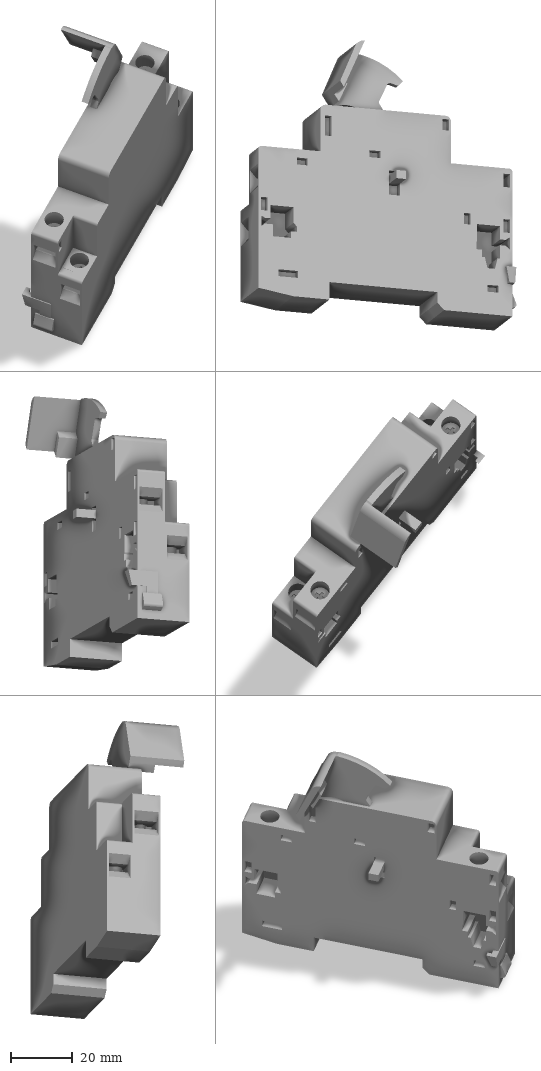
import cadquery as cq
WIDTH = 18.05
LENGTH = 87.0
SHOULDER_Z = 49.6
TOP_Z = 65.5
TOP_FRONT_Y = 21.0
TOP_BACK_Y = 65.8
TOP_RADIUS = 2.0
SHOULDER_RADIUS = 1.0

STEP_X = 9.5
STEP_Z = 32.9
STEP_LENGTH = 11.9

RAIL_FRONT_Y = 25.7
RAIL_BACK_Y = 62.7
RAIL_DEPTH = 5.9
RAIL_CHAMFER = 2.3
BACK_TAPER_Y = 75.1
BACK_TAPER_Z = 1.8

SCREW_INSET = 8.0
WELL_RADIUS = 3.1
WELL_DEPTH = 5.8
CROSS_DEPTH = 0.7
FUNNEL_DEPTH = 2.3
ENTRY_HEIGHT = 7.9
ENTRY_SLOT_HEIGHT = 2.7

STEP_RECESS_WIDTH = 4.0
STEP_RECESS_END_Y = 3.1
STEP_RECESS_DEPTH = 0.1

POCKET_DEPTH = 2.7
POCKET_WIDTH = 2.3
POCKET_SHORT = 3.7
POCKET_MEDIUM = 4.45
POCKET_LONG = 6.8
POCKET_INSET = 0.8
END_POCKET_Z = 28.0
SOCKET_DEPTH = 8.45

BAR_REACH = 6.6
BAR_SLOT_SIZE = (3.65, 8.1)
BAR_SLOT_CORNER = (38.6, 37.2)
BAR_SIZE = (3.4, 2.8)
BAR_CORNER = (38.7, 41.0)

PLATE_X = (1.1, 3.4)
GRIP_X = -14.85
RIB_X = -5.3

LATCH_PROUD = 0.3
LATCH_PLATE_DEPTH = 1.7
LATCH_TOP_Z = 15.8
LATCH_BOTTOM_Z = 10.8
HOOK_TOP_X = -3.2
HOOK_BOTTOM_X = -2.05
HOOK_INNER_X = -1.7
HOOK_DEPTH = 3.1
LATCH_END_X = 7.0
STEM_X = 3.0
CATCH_X = (1.6, 8.2)
CATCH_TOP_Z = 8.5
CATCH_BOTTOM_Z = 2.9
CATCH_TOP_LEDGE = 0.45
CATCH_REACH = 2.0


def prism(points, x_start, x_end):
    """Closed (Y, Z) outline extruded along X."""
    sketch = cq.Workplane("YZ", origin=(x_start, 0, 0)).polyline(points).close()
    return sketch.extrude(x_end - x_start)


def block(x_range, y_range, z_range):
    """Box given by its limits along each axis."""
    size = [limits[1] - limits[0] for limits in (x_range, y_range, z_range)]
    corner = (x_range[0], y_range[0], z_range[0])
    return cq.Workplane("XY").box(*size, centered=False).translate(corner)


def housing_slice(x_start, x_end, end_z, shoulder_inset):
    """Part of the housing whose end faces rise to end_z."""
    underside = [
        (LENGTH, BACK_TAPER_Z),
        (BACK_TAPER_Y, 0),
        (RAIL_BACK_Y, 0),
        (RAIL_BACK_Y, RAIL_DEPTH),
        (RAIL_FRONT_Y, RAIL_DEPTH),
        (RAIL_FRONT_Y, RAIL_CHAMFER),
        (RAIL_FRONT_Y - RAIL_CHAMFER, 0),
        (0, 0),
    ]
    front_end = [(0, end_z)]
    back_end = [(LENGTH, end_z)]
    rounded = [(0, end_z), (LENGTH, end_z)]
    if shoulder_inset > 0:
        shoulder_front = (shoulder_inset, SHOULDER_Z)
        shoulder_back = (LENGTH - shoulder_inset, SHOULDER_Z)
        front_end += [(shoulder_inset, end_z), shoulder_front]
        back_end = [shoulder_back, (LENGTH - shoulder_inset, end_z)] + back_end
        rounded += [shoulder_front, shoulder_back]
    crown = [
        (TOP_FRONT_Y, SHOULDER_Z),
        (TOP_FRONT_Y, TOP_Z),
        (TOP_BACK_Y, TOP_Z),
        (TOP_BACK_Y, SHOULDER_Z),
    ]
    body = prism(front_end + crown + back_end + underside, x_start, x_end)
    middle_x = (x_start + x_end) / 2
    corners = [(corner, SHOULDER_RADIUS) for corner in rounded]
    corners += [(corner, TOP_RADIUS) for corner in crown[1:3]]
    for (y, z), radius in corners:
        edge = cq.selectors.NearestToPointSelector((middle_x, y, z))
        body = body.edges(edge).fillet(radius)
    return body


def terminal(screw_x, floor_z, entry_x, ceiling_z, shaft_radius, cross):
    """Cutter for a front terminal: screw well, cross recess and wire entry.

    floor_z is the housing surface around the well; cross is (X length, Y length, slot width).
    """
    cross_x, cross_y, cross_slot = cross
    screw = cq.Workplane("XY", origin=(screw_x, SCREW_INSET, floor_z - WELL_DEPTH))
    cutter = screw.circle(WELL_RADIUS).extrude(WELL_DEPTH)
    cutter = cutter.union(screw.rect(cross_x, cross_slot).extrude(-CROSS_DEPTH))
    cutter = cutter.union(screw.rect(cross_slot, cross_y).extrude(-CROSS_DEPTH))

    middle_z = ceiling_z - ENTRY_HEIGHT / 2
    slot_top_z = middle_z + ENTRY_SLOT_HEIGHT / 2
    slot_bottom_z = middle_z - ENTRY_SLOT_HEIGHT / 2
    entry = prism(
        [
            (0, ceiling_z),
            (FUNNEL_DEPTH, slot_top_z),
            (SCREW_INSET, slot_top_z),
            (SCREW_INSET, slot_bottom_z),
            (FUNNEL_DEPTH, slot_bottom_z),
            (0, ceiling_z - ENTRY_HEIGHT),
        ],
        *entry_x,
    )
    shaft = cq.Workplane("XY", origin=(screw_x, SCREW_INSET, slot_bottom_z))
    entry = entry.cut(shaft.circle(shaft_radius).extrude(ENTRY_SLOT_HEIGHT))
    return cutter.union(entry)


def side_pocket(corner, size, depth):
    """Rectangular pocket cutter in the coupling side, from its lowest (Y, Z) corner."""
    y, z = corner
    return block((0, depth), (y, y + size[0]), (z, z + size[1]))


def handle():
    """Tilted handle standing on the crown."""
    grip_foot = (64.1, 69.6)
    plate_foot = (61.3, TOP_Z)
    grip_shoulder = (58.9, 82.0)
    shoulder_middle = (57.5, 83.4)
    grip_crest = (55.7, 83.9)
    plate_crest = (55.05, 84.1)
    grip_inner_foot = (62.9, 67.7)
    plate = (
        cq.Workplane("YZ", origin=(PLATE_X[0], 0, 0))
        .moveTo(*plate_foot)
        .lineTo(*grip_foot)
        .lineTo(*grip_shoulder)
        .threePointArc(shoulder_middle, grip_crest)
        .lineTo(*plate_crest)
        .threePointArc((46.25, 82.1), (37.1, 76.0))
        .lineTo(38.8, 74.35)
        .lineTo(41.1, 75.0)
        .threePointArc((42.0, 74.9), (42.6, 74.3))
        .lineTo(45.3, 68.7)
        .lineTo(45.3, 67.9)
        .lineTo(43.8, TOP_Z)
        .lineTo(52.9, TOP_Z)
        .threePointArc((56.4, 66.3), (59.9, TOP_Z))
        .close()
        .extrude(PLATE_X[1] - PLATE_X[0])
    )
    grip = (
        cq.Workplane("YZ", origin=(GRIP_X, 0, 0))
        .moveTo(*grip_inner_foot)
        .lineTo(*grip_foot)
        .lineTo(*grip_shoulder)
        .threePointArc(shoulder_middle, grip_crest)
        .close()
        .extrude(PLATE_X[1] - GRIP_X)
    )
    rib = prism([grip_inner_foot, (60.1, 74.0), (58.4, 71.6), plate_foot], RIB_X, PLATE_X[1])
    return plate.union(grip).union(rib)


def latch():
    """Slide plate with a hook past the coupling side, and the thumb catch below it."""
    plate = (
        cq.Workplane("XZ", origin=(0, -LATCH_PROUD, 0))
        .polyline(
            [
                (HOOK_TOP_X, LATCH_TOP_Z),
                (LATCH_END_X, LATCH_TOP_Z),
                (LATCH_END_X, CATCH_TOP_Z),
                (STEM_X, CATCH_TOP_Z),
                (STEM_X, LATCH_BOTTOM_Z),
                (HOOK_BOTTOM_X, LATCH_BOTTOM_Z),
            ]
        )
        .close()
        .extrude(-(LATCH_PROUD + LATCH_PLATE_DEPTH))
    )
    hook_outline = [
        (-LATCH_PROUD, LATCH_TOP_Z),
        (HOOK_DEPTH, LATCH_TOP_Z),
        (LATCH_PLATE_DEPTH, LATCH_BOTTOM_Z),
        (-LATCH_PROUD, LATCH_BOTTOM_Z),
    ]
    hook_limits = (
        cq.Workplane("XZ")
        .polyline(
            [
                (HOOK_TOP_X, LATCH_TOP_Z),
                (HOOK_INNER_X, LATCH_TOP_Z),
                (HOOK_INNER_X, LATCH_BOTTOM_Z),
                (HOOK_BOTTOM_X, LATCH_BOTTOM_Z),
            ]
        )
        .close()
        .extrude(HOOK_DEPTH, both=True)
    )
    hook = prism(hook_outline, HOOK_TOP_X, HOOK_INNER_X).intersect(hook_limits)
    catch = (
        cq.Workplane("YZ", origin=(CATCH_X[0], 0, 0))
        .moveTo(0, CATCH_TOP_Z)
        .lineTo(-CATCH_TOP_LEDGE, CATCH_TOP_Z)
        .lineTo(-1.9, 5.0)
        .threePointArc((-CATCH_REACH, 4.5), (-1.7, 3.8))
        .lineTo(0, CATCH_BOTTOM_Z)
        .close()
        .extrude(CATCH_X[1] - CATCH_X[0])
    )
    return plate.union(hook).union(catch)


body = housing_slice(0, STEP_X, SHOULDER_Z, 0)
body = body.union(housing_slice(STEP_X, WIDTH, STEP_Z, STEP_LENGTH))

tall_terminal = terminal(
    screw_x=4.5,
    floor_z=SHOULDER_Z,
    entry_x=(0.6, 8.7),
    ceiling_z=43.7,
    shaft_radius=1.8,
    cross=(3.6, 3.2, 1.0),
)
low_terminal = terminal(
    screw_x=13.5,
    floor_z=STEP_Z,
    entry_x=(10.2, 17.3),
    ceiling_z=28.3,
    shaft_radius=2.85,
    cross=(4.2, 4.2, 1.25),
)
for cutter in (tall_terminal, low_terminal):
    body = body.cut(cutter)
    body = body.cut(cutter.mirror("XZ", (0, LENGTH / 2, 0)))

body = body.cut(
    block(
        (STEP_X, STEP_X + STEP_RECESS_WIDTH),
        (SHOULDER_RADIUS, STEP_RECESS_END_Y),
        (STEP_Z - STEP_RECESS_DEPTH, STEP_Z),
    )
)

lying_pockets = [
    ((45.3, 49.2), POCKET_SHORT),
    ((70.2, 44.5), POCKET_SHORT),
    ((4.7, 7.6), POCKET_SHORT),
    ((73.5, 6.3), POCKET_LONG),
]
for corner, length in lying_pockets:
    body = body.cut(side_pocket(corner, (length, POCKET_WIDTH), POCKET_DEPTH))

standing_pockets = [
    ((62.0, 55.05), POCKET_LONG, POCKET_DEPTH),
    ((21.7, 60.6), POCKET_SHORT, POCKET_DEPTH),
    ((14.3, 29.6), POCKET_SHORT, POCKET_DEPTH),
    ((POCKET_INSET, END_POCKET_Z), POCKET_MEDIUM, POCKET_DEPTH),
    ((LENGTH - POCKET_INSET - POCKET_WIDTH, END_POCKET_Z), POCKET_MEDIUM, POCKET_DEPTH),
    ((POCKET_INSET, 43.3), POCKET_MEDIUM, STEP_X),
]
for corner, length, depth in standing_pockets:
    body = body.cut(side_pocket(corner, (POCKET_WIDTH, length), depth))

front_socket = [
    (12.1, 30.0),
    (4.2, 30.0),
    (4.2, 25.5),
    (2.3, 25.5),
    (0.8, 26.5),
    (0.8, 22.4),
    (2.3, 23.6),
    (4.2, 23.6),
    (4.2, 19.1),
    (5.1, 19.1),
    (6.0, 15.5),
    (8.5, 15.5),
    (9.4, 19.1),
    (10.4, 19.1),
    (10.4, 21.5),
    (12.4, 21.5),
    (12.4, 23.75),
    (12.1, 24.3),
]
back_socket = [
    (82.9, 30.0),
    (75.0, 30.0),
    (75.0, 24.7),
    (73.9, 23.6),
    (73.9, 21.8),
    (75.9, 21.8),
    (75.9, 19.6),
    (82.1, 19.6),
    (82.1, 23.6),
    (84.85, 23.6),
    (86.0, 22.6),
    (86.0, 26.15),
    (84.85, 25.5),
    (82.9, 25.5),
]
for outline in (front_socket, back_socket):
    body = body.cut(prism(outline, 0, SOCKET_DEPTH))

bar_y, bar_z = BAR_CORNER
bar = block(
    (-BAR_REACH, POCKET_DEPTH),
    (bar_y, bar_y + BAR_SIZE[0]),
    (bar_z, bar_z + BAR_SIZE[1]),
)
body = body.cut(side_pocket(BAR_SLOT_CORNER, BAR_SLOT_SIZE, POCKET_DEPTH)).union(bar)

result = body.union(handle()).union(latch())